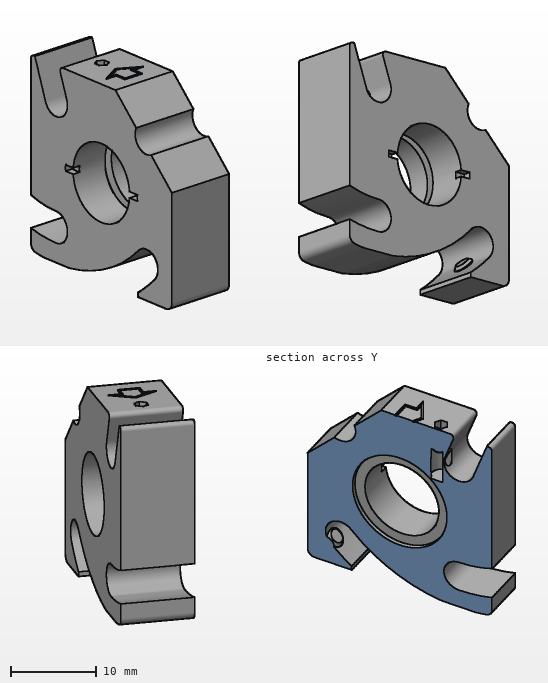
import cadquery as cq
import math

side = 25
half = side / 2
thickness = 9
front_y = -thickness / 2

rod_offset = 8
rod_radius = 2
pivot = (-rod_offset, rod_offset)
lower_left_rod = (-rod_offset, -rod_offset)
lower_right_rod = (rod_offset, -rod_offset)

chamfer_leg = 10
corner_radius = 1
lip_radius = 0.5
slot_tilt = 20
left_slot_sweep = 30
bottom_slot_sweep = 75
tooth_tip_x = 6.5
tooth_tip_height = 1
tooth_trim_width = 4

bore_radius = 5
seat_radius = 6.35
gap_front_y = 0.5
gap_back_y = 1.5
ring_slot_width = 0.8
ring_slot_depth = 1

screw_radius = 1.25
screw_tip_radius = 0.88
screw_length = 3.5
socket_across_flats = 1.5
socket_depth = 1.5
screw_x = -5
screw_hole_bottom_z = 5
clamp_screw_turn = 135
clamp_tip_reach = 1.5

arrow_tip_x = -2.58
arrow_neck_x = -0.92
arrow_tail_x = 0.62
arrow_head_half = 2.92
arrow_shaft_half = 1.35
arrow_line_width = 0.2
arrow_depth = 0.1


def extrude_back(outline, depth):
    """Extrude an outline drawn on an XZ plane toward +Y."""
    return outline.extrude(-depth)


def front_plane(y=front_y):
    return cq.Workplane("XZ", origin=(0, y, 0))


def on_arc(center, radius, degrees):
    angle = math.radians(degrees)
    return (center[0] + radius * math.cos(angle), center[1] + radius * math.sin(angle))


def rod_hole(x, z):
    return extrude_back(front_plane().center(x, z).circle(rod_radius), thickness)


def swing_slot(rod, sweep_degrees):
    """Slot that lets the block swing onto a rod about the upper left rod axis."""
    path_radius = math.dist(pivot, rod)
    start_degrees = math.degrees(math.atan2(rod[1] - pivot[1], rod[0] - pivot[0]))
    inner = path_radius - rod_radius
    outer = path_radius + rod_radius
    end_degrees = start_degrees - sweep_degrees
    middle_degrees = start_degrees - sweep_degrees / 2
    outline = (
        front_plane()
        .moveTo(*on_arc(pivot, inner, start_degrees))
        .threePointArc(on_arc(pivot, inner, middle_degrees), on_arc(pivot, inner, end_degrees))
        .lineTo(*on_arc(pivot, outer, end_degrees))
        .threePointArc(on_arc(pivot, outer, middle_degrees), on_arc(pivot, outer, start_degrees))
        .close()
    )
    return extrude_back(outline, thickness).union(rod_hole(*rod))


def tilted_slot():
    """Straight slot from the upper left rod position out through the top."""
    channel = (
        cq.Workplane("XY")
        .box(2 * rod_radius, thickness, half, centered=(True, True, False))
        .rotate((0, 0, 0), (0, 1, 0), -slot_tilt)
        .translate((pivot[0], 0, pivot[1]))
    )
    return channel.union(rod_hole(*pivot))


def set_screw():
    """Screw along Z with its head face at the origin and its tip below."""
    shank_end = screw_radius - screw_tip_radius - screw_length
    return (
        cq.Workplane("XZ")
        .polyline([
            (0, 0),
            (screw_radius, 0),
            (screw_radius, shank_end),
            (screw_tip_radius, -screw_length),
            (0, -screw_length),
        ])
        .close()
        .revolve(360, (0, 0, 0), (0, 1, 0))
    )


def arrow_outline():
    return (
        cq.Workplane("XY", origin=(0, 0, half))
        .polyline([
            (arrow_tip_x, 0),
            (arrow_neck_x, arrow_head_half),
            (arrow_neck_x, arrow_shaft_half),
            (arrow_tail_x, arrow_shaft_half),
            (arrow_tail_x, -arrow_shaft_half),
            (arrow_neck_x, -arrow_shaft_half),
            (arrow_neck_x, -arrow_head_half),
        ])
        .close()
    )


body = cq.Workplane("XY").box(side, thickness, side)
body = body.edges(">X and >Z").chamfer(chamfer_leg)
body = body.edges(">X and <Z").fillet(corner_radius)
body = body.edges("<X and >Z").fillet(lip_radius)

body = body.cut(tilted_slot())
body = body.cut(rod_hole(rod_offset, rod_offset))
body = body.cut(swing_slot(lower_left_rod, left_slot_sweep))
body = body.cut(swing_slot(lower_right_rod, bottom_slot_sweep))

tooth_trim = (
    cq.Workplane("XY")
    .box(tooth_trim_width, thickness, tooth_tip_height)
    .translate((tooth_tip_x - tooth_trim_width / 2, 0, -half + tooth_tip_height / 2))
)
body = body.cut(tooth_trim)

tilt = math.radians(slot_tilt)
lip_x = pivot[0] + rod_radius / math.cos(tilt) - (half - pivot[1]) * math.tan(tilt)
body = body.edges(cq.selectors.NearestToPointSelector((lip_x, 0, half))).fillet(lip_radius)
swing_inner = math.dist(pivot, lower_right_rod) - rod_radius
heel_z = pivot[1] - math.sqrt(swing_inner**2 - (half - rod_offset) ** 2)
body = body.edges(cq.selectors.NearestToPointSelector((-half, 0, heel_z))).fillet(corner_radius)

body = body.cut(extrude_back(front_plane().circle(bore_radius), thickness))
gap = extrude_back(front_plane(gap_front_y).circle(seat_radius), gap_back_y - gap_front_y)
body = body.cut(gap)

spanner_bar = extrude_back(front_plane().rect(side, ring_slot_width), ring_slot_depth)
spanner_disc = extrude_back(front_plane().circle(seat_radius), ring_slot_depth)
body = body.cut(spanner_bar.intersect(spanner_disc))

screw_hole = (
    cq.Workplane("XY", origin=(screw_x, 0, screw_hole_bottom_z))
    .circle(screw_radius)
    .extrude(half - screw_hole_bottom_z)
)
socket_across_corners = socket_across_flats / math.cos(math.radians(30))
socket = (
    cq.Workplane("XY", origin=(screw_x, 0, half))
    .polygon(6, socket_across_corners)
    .extrude(-socket_depth)
)
body = body.cut(screw_hole).union(set_screw().translate((screw_x, 0, half))).cut(socket)

head_reach = (clamp_tip_reach + screw_length) / math.sqrt(2)
clamp_screw = (
    set_screw()
    .rotate((0, 0, 0), (0, 1, 0), clamp_screw_turn)
    .translate((rod_offset + head_reach, 0, -rod_offset - head_reach))
)
body = body.union(clamp_screw)

arrow_groove = arrow_outline().extrude(-arrow_depth)
arrow_island = arrow_outline().offset2D(-arrow_line_width, "intersection").extrude(-arrow_depth)
body = body.cut(arrow_groove.cut(arrow_island))

result = body